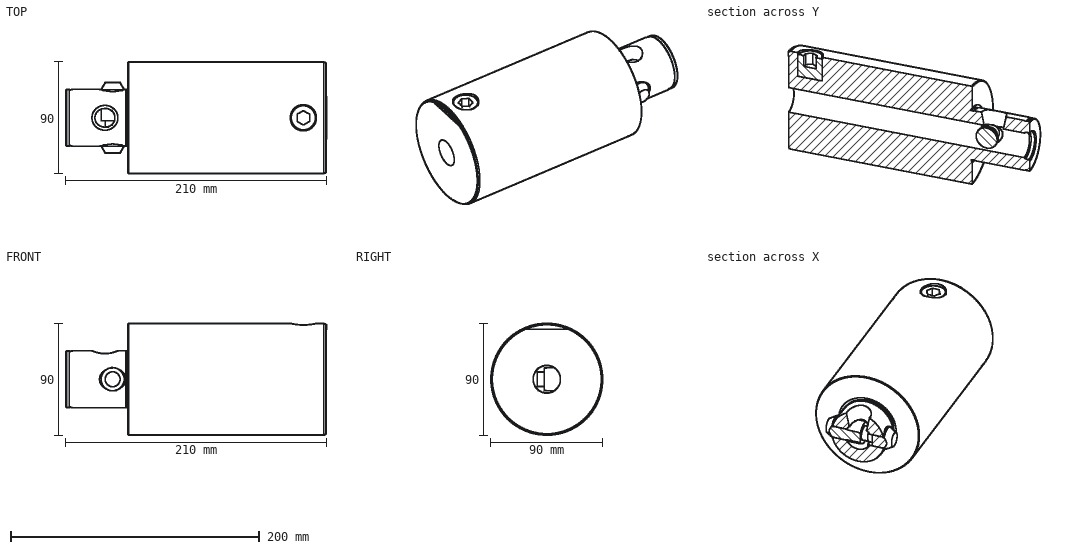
import cadquery as cq
import math

overall_length = 210.0
shank_length = 50.0
back_x = -overall_length / 2
front_x = overall_length / 2
shoulder_x = back_x + shank_length

body_radius = 45.0
shoulder_chamfer = 0.6
front_bevel_length = 1.3
front_bevel_drop = 0.6
front_rim_length = 0.6
front_face_radius = 43.8

segment_thickness = 0.5
segment_half_width = 17.0
segment_bottom_z = math.sqrt(front_face_radius**2 - segment_half_width**2)
face_x = front_x - segment_thickness
rim_x = face_x - front_rim_length
bevel_x = rim_x - front_bevel_length

shank_radius = 23.0
shank_end_radius = 22.3
shank_end_chamfer = 0.7
pilot_radius = 22.8
pilot_length = 3.0
pilot_taper_end = 5.5
undercut_radius = 22.6
undercut_length = 1.8
face_relief_radius = 25.0
face_relief_depth = 1.2

bore_radius = 11.0
bore_mouth_radius = 13.0
bore_lead_radius = 12.0
bore_mouth_chamfer = bore_mouth_radius - bore_lead_radius
bore_lead_depth = 4.0
bore_lead_taper = bore_lead_radius - bore_radius
bore_lead_end_x = back_x + bore_lead_depth

access_x = back_x + 31.5
access_top_radius = 10.0
access_bottom_radius = 7.5
access_top_z = math.sqrt(shank_radius**2 - access_top_radius**2)
access_bottom_z = math.sqrt(bore_radius**2 - access_bottom_radius**2)
access_slope = (access_top_radius - access_bottom_radius) / (access_top_z - access_bottom_z)
access_axis_radius = access_bottom_radius - access_slope * access_bottom_z
access_outer_radius = access_axis_radius + access_slope * shank_radius

pin_x = back_x + 37.7
pin_radius = 9.3
pin_tip_radius = 6.0
pin_tip_y = 28.4
pin_cone_angle = 30.0
pin_cone_length = (pin_radius - pin_tip_radius) / math.tan(math.radians(pin_cone_angle))
pin_cone_y = pin_tip_y - pin_cone_length
sleeve_pin_end_y = -2.2
sleeve_pin_bevel_length = 2.2
sleeve_pin_bevel_drop = 0.3
pin_mouth_radius = 10.6
pin_mouth_y = shank_radius - (pin_mouth_radius - pin_radius)
neck_radius = 6.0
stem_radius = 6.2
stem_start_y = -7.7
head_start_y = -12.0

screw_x = back_x + 191.0
screw_radius = 10.5
screw_chamfer = 0.8
screw_length = 20.0
screw_recess = 0.3
screw_top_z = math.sqrt(body_radius**2 - screw_radius**2) - screw_recess
screw_bottom_z = screw_top_z - screw_length
hex_across_flats = 10.0
hex_corner_diameter = hex_across_flats / math.cos(math.pi / 6)
hex_depth = 10.0


def revolve_about_x(points):
    """Closed (x, radius) outline turned around the tool axis."""
    return cq.Workplane("XY").polyline(points).close().revolve(360, (0, 0, 0), (1, 0, 0))


def revolve_about_pin(points):
    """Closed (radius, y) outline turned around the cross pin axis."""
    outline = cq.Workplane("XY").polyline(points).close()
    return outline.revolve(360, (0, 0, 0), (0, 1, 0)).translate((pin_x, 0, 0))


def make_front_segment():
    """Thin circular segment standing on the front face, with its chord at the bottom."""
    return (
        cq.Workplane("YZ", origin=(face_x, 0, 0))
        .moveTo(-segment_half_width, segment_bottom_z)
        .threePointArc((0, front_face_radius), (segment_half_width, segment_bottom_z))
        .close()
        .extrude(segment_thickness)
    )


def make_holder():
    holder = revolve_about_x([
        (back_x, 0),
        (back_x, shank_end_radius),
        (back_x + shank_end_chamfer, pilot_radius),
        (back_x + pilot_length, pilot_radius),
        (back_x + pilot_length, shank_end_radius),
        (back_x + pilot_taper_end, shank_radius),
        (shoulder_x - undercut_length, shank_radius),
        (shoulder_x - undercut_length / 2, undercut_radius),
        (shoulder_x + face_relief_depth, undercut_radius),
        (shoulder_x, face_relief_radius),
        (shoulder_x, body_radius - shoulder_chamfer),
        (shoulder_x + shoulder_chamfer, body_radius),
        (bevel_x, body_radius),
        (rim_x, body_radius - front_bevel_drop),
        (face_x, front_face_radius),
        (face_x, 0),
    ])
    bore = revolve_about_x([
        (back_x, 0),
        (back_x, bore_mouth_radius),
        (back_x + bore_mouth_chamfer, bore_lead_radius),
        (bore_lead_end_x, bore_lead_radius),
        (bore_lead_end_x + bore_lead_taper, bore_radius),
        (front_x, bore_radius),
        (front_x, 0),
    ])
    access_hole = cq.Workplane(cq.Solid.makeCone(
        access_axis_radius,
        access_outer_radius,
        shank_radius,
        cq.Vector(access_x, 0, 0),
        cq.Vector(0, 0, 1),
    ))
    pin_hole = revolve_about_pin([
        (0, -shank_radius),
        (pin_mouth_radius, -shank_radius),
        (pin_radius, -pin_mouth_y),
        (pin_radius, pin_mouth_y),
        (pin_mouth_radius, shank_radius),
        (0, shank_radius),
    ])
    screw_hole = (
        cq.Workplane("XY", origin=(screw_x, 0, screw_bottom_z))
        .circle(screw_radius)
        .extrude(body_radius - screw_bottom_z)
    )
    solid = holder.union(make_front_segment())
    return solid.cut(bore).cut(access_hole).cut(pin_hole).cut(screw_hole)


def make_sleeve_pin():
    return revolve_about_pin([
        (0, sleeve_pin_end_y),
        (pin_radius - sleeve_pin_bevel_drop, sleeve_pin_end_y),
        (pin_radius, sleeve_pin_end_y + sleeve_pin_bevel_length),
        (pin_radius, pin_cone_y),
        (pin_tip_radius, pin_tip_y),
        (0, pin_tip_y),
    ])


def make_neck_pin():
    return revolve_about_pin([
        (0, sleeve_pin_end_y),
        (neck_radius, sleeve_pin_end_y),
        (neck_radius, stem_start_y),
        (stem_radius, stem_start_y),
        (stem_radius, head_start_y),
        (pin_radius, head_start_y),
        (pin_radius, -pin_cone_y),
        (pin_tip_radius, -pin_tip_y),
        (0, -pin_tip_y),
    ])


def make_set_screw():
    screw = (
        cq.Workplane("XY", origin=(screw_x, 0, screw_bottom_z))
        .circle(screw_radius)
        .extrude(screw_length)
        .faces(">Z")
        .chamfer(screw_chamfer)
    )
    socket = (
        cq.Workplane("XY", origin=(screw_x, 0, screw_top_z - hex_depth))
        .transformed(rotate=(0, 0, 90))
        .polygon(6, hex_corner_diameter)
        .extrude(hex_depth)
    )
    return screw.cut(socket)


holder = make_holder()
sleeve_pin = make_sleeve_pin()
neck_pin = make_neck_pin()
set_screw = make_set_screw()

result = cq.Compound.makeCompound([
    holder.val(),
    sleeve_pin.val(),
    neck_pin.val(),
    set_screw.val(),
])